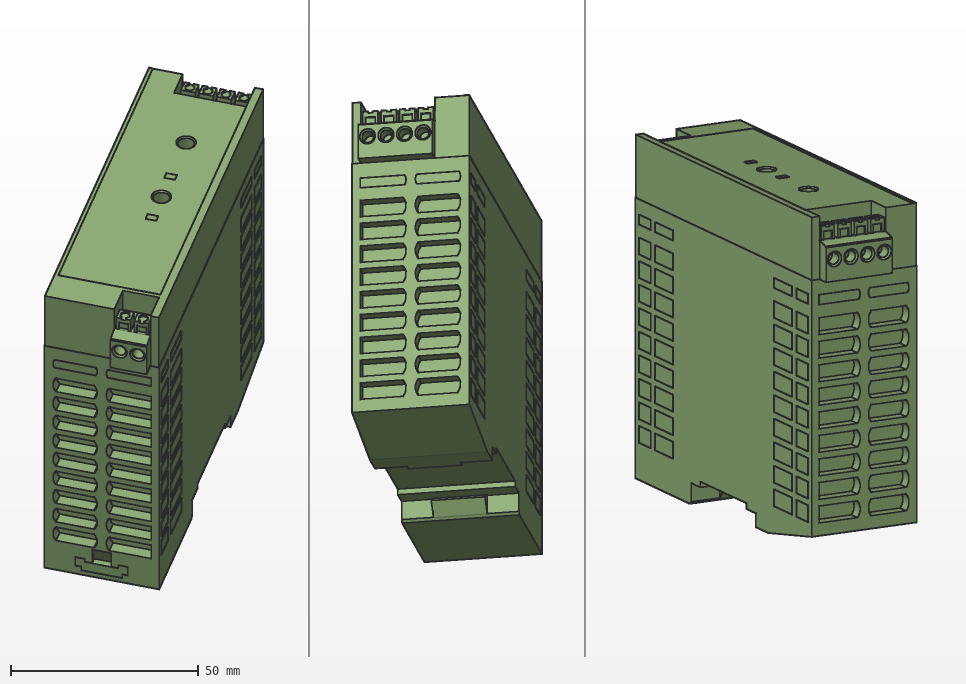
import cadquery as cq

width = 32.0
overall_length = 106.0
height = 95.0
body_length = 98.8
body_half = body_length / 2
cover_bottom = 77.6
cover_inset = 0.1

rail_half = 18.0
rail_step_half = 12.8
rail_top = 7.5
rail_step_top = 5.9
rear_foot_z = 2.1
rear_slope_y = 25.1
rear_slope_z = 6.7
front_bevel = 0.7

clip_width = 14.6
clip_mid_x = width / 2
clip_x_min = clip_mid_x - clip_width / 2
clip_x_max = clip_mid_x + clip_width / 2

panel_x_min = 1.2
panel_x_max = 29.6
panel_y_min = -40.0
panel_recess = 0.1
control_x = 18.3
dial_ys = (22.5, -1.0)
dial_mouth_radius = 2.6
dial_radius = 2.2
dial_depth = 6.4
dial_pin_radius = 1.1
dial_pin_height = 2.1
lamp_ys = (7.8, -9.9)
lamp_size = (3.0, 2.0)
lamp_recess = 0.1

front_poles = 2
back_poles = 4
back_terminal_width = 20.1
terminal_pitch = back_terminal_width / back_poles
terminal_x_max = panel_x_max
pocket_back = 41.2
terminal_floor = 88.3
terminal_nose_z = 87.5
terminal_bevel = 0.3
clamp_width = 4.0
clamp_back = 45.9
clamp_front = 49.3
clamp_height = 3.9
clamp_slot_width = 2.6
clamp_slot_height = 2.3
clamp_slot_depth = 0.6
screw_radius = 1.3
screw_recess = 0.4
screw_slot_width = 1.2
wire_z = 83.7
wire_mouth_radius = 2.1
wire_radius = 1.6
wire_taper = 0.5
wire_depth = 4.2

vent_rows = 9
vent_first_z = 12.6
vent_last_z = 64.7
vent_pitch = (vent_last_z - vent_first_z) / (vent_rows - 1)
vent_height = 4.7
slit_z = 72.0
slit_height = 2.8
vent_depth = 3.4
slit_depth = 0.1
side_vent_depth = 0.1
left_vent = (2.4, 14.7)
right_vent = (17.3, 29.8)
vent_bulge = 0.8
slit_bulge = 0.4
side_columns = ((28.2, 38.3), (40.7, 47.2))


def box(x0, x1, y0, y1, z0, z1):
    """Axis-aligned block between two corners."""
    return cq.Workplane("XY").box(x1 - x0, y1 - y0, z1 - z0, centered=False).translate((x0, y0, z0))


def side_prism(points, x0, x1):
    """Outline given as (Y, Z) points, extruded along X."""
    return cq.Workplane("YZ").polyline(points).close().extrude(x1 - x0).translate((x0, 0, 0))


def mirror_to_back(shape):
    return shape.mirror("XZ")


def make_body():
    lower = side_prism(
        [
            (-body_half, 0),
            (-rail_half - front_bevel, 0),
            (-rail_half, front_bevel),
            (-rail_half, rail_step_top),
            (-rail_step_half, rail_step_top),
            (-rail_step_half, rail_top),
            (rail_step_half, rail_top),
            (rail_step_half, rail_step_top),
            (rail_half, rail_step_top),
            (rail_half, rear_foot_z),
            (rear_slope_y, rear_foot_z),
            (body_half, rear_slope_z),
            (body_half, cover_bottom),
            (-body_half, cover_bottom),
        ],
        0,
        width,
    )
    cover_half = body_half - cover_inset
    cover = box(cover_inset, width - cover_inset, -cover_half, cover_half, cover_bottom, height)
    panel = box(panel_x_min, panel_x_max, panel_y_min, body_half, height - panel_recess, height)
    return lower.union(cover).cut(panel)


def make_rail_hooks():
    """Fixed front hook and sprung rear hook that grip the rail flanges."""
    overlap = 0.5
    front_tip_y, front_tip_z = -15.0, 4.5
    front_top_y, front_top_z = -17.3, 5.8
    rear_toe_y = 16.1
    rear_tip_y, rear_tip_z = 15.3, 4.3
    rear_top_z = 5.1
    front = side_prism(
        [
            (-rail_half - overlap, front_bevel),
            (-rail_half, front_bevel),
            (front_tip_y, front_tip_z),
            (front_top_y, front_top_z),
            (-rail_half - overlap, front_top_z),
        ],
        clip_x_min,
        clip_x_max,
    )
    rear = side_prism(
        [
            (rail_half + overlap, rear_foot_z),
            (rear_toe_y, rear_foot_z),
            (rear_tip_y, rear_tip_z),
            (rail_half, rear_top_z),
            (rail_half + overlap, rear_top_z),
        ],
        clip_x_min,
        clip_x_max,
    )
    return front.union(rear)


def make_latch_plate():
    """Stepped end of the slider, just proud of the front face."""
    proud = 0.1
    top, shelf, ledge, bottom = 5.8, 4.8, 2.9, 1.6
    shelf_half, foot_half = 4.7, 5.7
    y0, y1 = -body_half - proud, -body_half + proud
    plate = box(clip_x_min, clip_x_max, y0, y1, ledge, top)
    notch = box(clip_mid_x - shelf_half, clip_mid_x + shelf_half, y0, y1, shelf, top)
    foot = box(clip_mid_x - foot_half, clip_mid_x + foot_half, y0, y1, bottom, ledge)
    return plate.cut(notch).union(foot)


def make_latch_window():
    """Tool opening above the latch plate, with a sloped back wall."""
    half, bottom, top, depth = 2.6, 4.8, 9.5, 1.9
    clearance = 1.1
    front = -body_half - clearance
    return side_prism(
        [(front, bottom), (-body_half + depth, bottom), (-body_half, top), (front, top)],
        clip_mid_x - half,
        clip_mid_x + half,
    )


def vent_outline(x0, x1, z0, z1, bulge, round_right):
    """Opening with arced ends; the right end may be straight."""
    mid = (z0 + z1) / 2
    right = x1 - bulge if round_right else x1
    sketch = cq.Workplane("XZ").moveTo(x0 + bulge, z0).lineTo(right, z0)
    if round_right:
        sketch = sketch.threePointArc((x1, mid), (right, z1))
    else:
        sketch = sketch.lineTo(right, z1)
    return sketch.lineTo(x0 + bulge, z1).threePointArc((x0, mid), (x0 + bulge, z0)).close()


def make_vent_row(z, row_height, bulge, depth):
    """End-face pair of openings plus the shallow panels on both sides."""
    z0, z1 = z - row_height / 2, z + row_height / 2
    row = []
    for (x0, x1), round_right in ((left_vent, True), (right_vent, False)):
        front = vent_outline(x0, x1, z0, z1, bulge, round_right).extrude(-depth)
        front = front.translate((0, -body_half, 0))
        row += [front.val(), mirror_to_back(front).val()]
    for y0, y1 in side_columns:
        for x0, x1 in ((0, side_vent_depth), (width - side_vent_depth, width)):
            side = box(x0, x1, -y1, -y0, z0, z1)
            row += [side.val(), mirror_to_back(side).val()]
    return row


def make_vents():
    solids = make_vent_row(slit_z, slit_height, slit_bulge, slit_depth)
    for i in range(vent_rows):
        solids += make_vent_row(vent_first_z + i * vent_pitch, vent_height, vent_bulge, vent_depth)
    return cq.Workplane(obj=cq.Compound.makeCompound(solids))


def make_pocket(poles):
    """Open corner in the cover where a front terminal block sits."""
    x0 = terminal_x_max - poles * terminal_pitch
    return box(x0, terminal_x_max, -body_half, -pocket_back, cover_bottom, height)


def make_clamp(x):
    """Screw clamp with a sunken screw head, a driver slot and a front opening."""
    half = clamp_width / 2
    top = terminal_floor + clamp_height
    mid_y = -(clamp_front + clamp_back) / 2
    clamp = box(x - half, x + half, -clamp_front, -clamp_back, terminal_floor, top)
    slot_half = clamp_slot_width / 2
    slot = box(
        x - slot_half,
        x + slot_half,
        -clamp_front,
        -clamp_front + clamp_slot_depth,
        terminal_floor,
        terminal_floor + clamp_slot_height,
    )
    screw = cq.Workplane("XY").circle(screw_radius).extrude(screw_recess)
    screw = screw.translate((x, mid_y, top - screw_recess))
    driver_half = screw_slot_width / 2
    driver = box(x - driver_half, x + driver_half, -clamp_front, mid_y, top - screw_recess, top)
    return clamp.cut(slot).cut(screw).cut(driver)


def make_wire_entry(x):
    """Funnel-mouthed wire hole in the terminal's end face."""
    profile = [
        (0, 0),
        (wire_mouth_radius, 0),
        (wire_radius, wire_taper),
        (wire_radius, wire_depth),
        (0, wire_depth),
    ]
    funnel = cq.Workplane("XY").polyline(profile).close().revolve(360, (0, 0, 0), (0, 1, 0))
    return funnel.translate((x, -overall_length / 2, wire_z))


def make_terminal(poles):
    """Front terminal block, growing toward -X with its number of poles."""
    x0 = terminal_x_max - poles * terminal_pitch
    end = -overall_length / 2
    block = side_prism(
        [
            (-pocket_back, cover_bottom),
            (-pocket_back, terminal_floor),
            (-body_half, terminal_floor),
            (end + terminal_bevel, terminal_nose_z),
            (end, terminal_nose_z - terminal_bevel),
            (end, cover_bottom),
        ],
        x0,
        terminal_x_max,
    )
    for i in range(poles):
        x = x0 + (i + 0.5) * terminal_pitch
        block = block.union(make_clamp(x)).cut(make_wire_entry(x))
    return block


def make_dial(y):
    """Countersunk well in the panel; the pin in its floor is left standing."""
    taper = dial_mouth_radius - dial_radius
    profile = [
        (dial_pin_radius, -dial_depth),
        (dial_radius, -dial_depth),
        (dial_radius, -taper),
        (dial_mouth_radius, 0),
        (0, 0),
        (0, dial_pin_height - dial_depth),
        (dial_pin_radius, dial_pin_height - dial_depth),
    ]
    well = cq.Workplane("XZ").polyline(profile).close().revolve(360, (0, 0, 0), (0, 1, 0))
    return well.translate((control_x, y, height - panel_recess))


def make_lamp(y):
    x_half, y_half = lamp_size[0] / 2, lamp_size[1] / 2
    top = height - panel_recess
    return box(control_x - x_half, control_x + x_half, y - y_half, y + y_half, top - lamp_recess, top)


result = make_body().cut(make_vents())
result = result.union(make_rail_hooks()).union(make_latch_plate()).cut(make_latch_window())
result = result.cut(make_pocket(front_poles)).cut(mirror_to_back(make_pocket(back_poles)))
result = result.union(make_terminal(front_poles)).union(mirror_to_back(make_terminal(back_poles)))
for dial_y in dial_ys:
    result = result.cut(make_dial(dial_y))
for lamp_y in lamp_ys:
    result = result.cut(make_lamp(lamp_y))